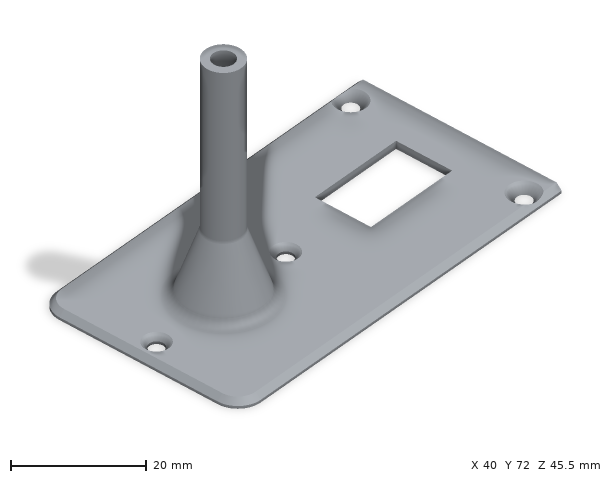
import cadquery as cq
import math

plate_width = 40.0
plate_length = 72.0
plate_thickness = 1.5
corner_radius = 4.5
edge_chamfer = 1.0
back_y = plate_length / 2
front_y = -plate_length / 2

window_width = 11.0
window_length = 18.2
window_setback = 8.0
window_y = back_y - window_setback - window_length / 2

screw_diameter = 2.8
sink_angle = 90.0
corner_sink_diameter = screw_diameter + 2 * plate_thickness * math.tan(math.radians(sink_angle / 2))
middle_sink_diameter = 4.8
corner_screw_x = 17.0
corner_screw_y = back_y - 5.0
front_screw_y = front_y + 4.0
middle_screw_spacing = 29.0

post_y = front_y + 19.0
post_diameter = 7.0
bore_diameter = 4.0
total_height = 45.5
flare_base_diameter = 15.7
flare_top_z = 14.0
flare_foot_fillet = 2.0
flare_neck_fillet = 1.5


def make_plate():
    plate = cq.Workplane("XY").rect(plate_width, plate_length).extrude(plate_thickness)
    plate = plate.edges("|Z and <Y").fillet(corner_radius)
    return plate.faces(">Z").edges("not(>Y)").chamfer(edge_chamfer)


def make_post():
    """Solid of revolution: flared cone blending tangentially into plate and tube."""
    post_radius = post_diameter / 2
    base_radius = flare_base_diameter / 2
    rise = flare_top_z - plate_thickness
    run = base_radius - post_radius
    slant = math.hypot(rise, run)
    slope_r = -run / slant
    slope_z = rise / slant
    lean = math.atan2(run, rise)

    foot_reach = flare_foot_fillet * math.tan((math.pi / 2 - lean) / 2)
    neck_reach = flare_neck_fillet * math.tan(lean / 2)

    foot_start = (base_radius + foot_reach, plate_thickness)
    foot_end = (base_radius + foot_reach * slope_r, plate_thickness + foot_reach * slope_z)
    neck_start = (post_radius - neck_reach * slope_r, flare_top_z - neck_reach * slope_z)
    neck_end = (post_radius, flare_top_z + neck_reach)

    profile = (
        cq.Workplane("XZ")
        .lineTo(foot_start[0], 0)
        .lineTo(*foot_start)
        .radiusArc(foot_end, flare_foot_fillet)
        .lineTo(*neck_start)
        .radiusArc(neck_end, flare_neck_fillet)
        .lineTo(post_radius, total_height)
        .lineTo(0, total_height)
        .close()
    )
    return profile.revolve(360, (0, 0), (0, 1)).translate((0, post_y, 0))


def make_window():
    window = cq.Workplane("XY").rect(window_width, window_length).extrude(plate_thickness)
    return window.translate((0, window_y, 0))


def drill_screws(body, points, sink_diameter):
    plate_top = cq.Workplane("XY", origin=(0, 0, plate_thickness))
    return (
        body.copyWorkplane(plate_top)
        .pushPoints(points)
        .cskHole(screw_diameter, sink_diameter, sink_angle, plate_thickness)
    )


def make_bore():
    return cq.Workplane("XY").center(0, post_y).circle(bore_diameter / 2).extrude(total_height)


corner_screws = [(side * corner_screw_x, corner_screw_y) for side in (-1, 1)]
middle_screws = [(0, front_screw_y), (0, front_screw_y + middle_screw_spacing)]

result = make_plate().cut(make_window())
result = drill_screws(result, corner_screws, corner_sink_diameter)
result = drill_screws(result, middle_screws, middle_sink_diameter)
result = result.union(make_post()).cut(make_bore())